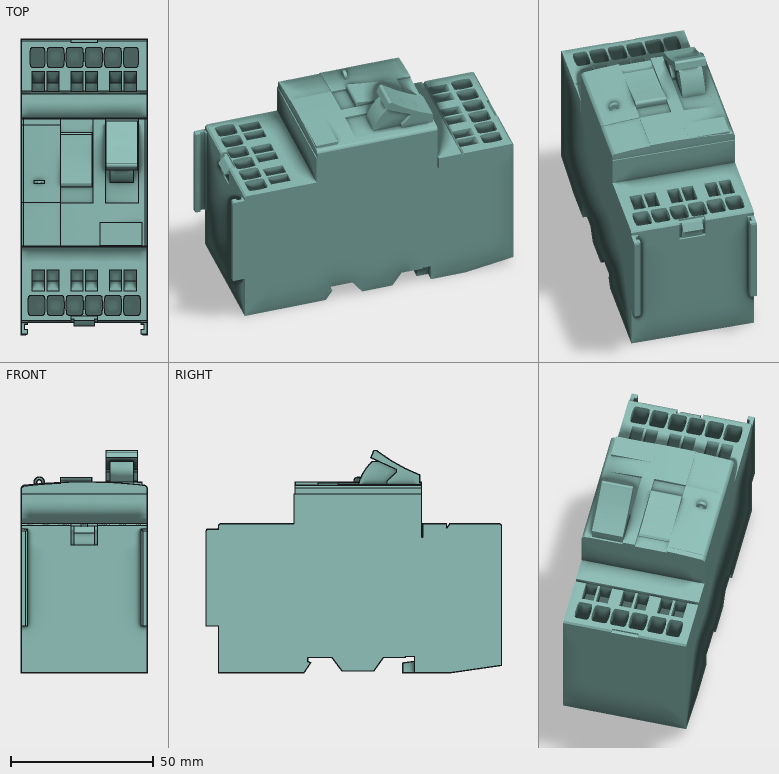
import cadquery as cq
import math

width = 44.5
half_width = width / 2
depth = 99.65
shoulder_z = 52.5
hood_front_y = 26.6
hood_back_y = 71.5
seam_z = 63.0
crown_z = 67.2
cut_clearance = 1.0


def box(x0, x1, y0, y1, z0, z1):
    return cq.Workplane("XY").box(x1 - x0, y1 - y0, z1 - z0, centered=False).translate((x0, y0, z0))


def side_prism(sketch, x0, x1):
    """Extrude an outline drawn in the YZ plane from x0 to x1."""
    return sketch.close().extrude(x1 - x0).translate((x0, 0, 0))


rim_chamfer = 0.6
rail_roof_z = 5.4
clip_wall_y = 69.0
clip_relief_y = 65.8
clip_relief_height = 0.35
web_bottom_z = 0.6
web_bottom_y = (43.5, 54.7)
web_root_y = (39.9, 58.1)
rail_front_y = 31.5
rail_hook_y = 32.5
rail_hook_z = (3.6, 4.0)
hook_foot_y = 30.1
base_slope_y = 81.7
base_slope_rise = 2.6

wire_pitch = 6.72
wire_length = 7.1
wire_half_width = 3.1
end_wire_half_width = 2.75
wire_corner_inset = 0.85
wire_corner_rise = 0.5
wire_hole_depth = 12.0
front_wire_y = 6.0
back_wire_y = 93.25
wire_columns = 6

spring_pair_pitch = 13.6
spring_half_gap = 0.42
spring_width = 4.3
spring_depth = 6.5
front_spring_y = (11.0, 14.5, 18.4)
back_spring_y = (88.2, 84.3, 81.2)

latch_half_width = 4.75
latch_bottom_z = 45.0
latch_recess_depth = 2.3
hook_half_width = 3.65
hook_reach = 1.3
hook_top_z = 51.6
hook_edge_z = 49.2
hook_set_back = 0.6
ledge_set_back = 1.2
back_notch_length = 1.2
back_notch_depth = 0.8

rail_reach = 4.4
rail_bottom_z = 16.4
rail_top_z = 50.6
rail_stem = 1.3
rail_lip_width = 2.3
rail_lip_start = 2.5
rail_root_lip = 0.7
rail_bevel_width = 0.75
rail_bevel_depth = 0.35


def housing_block():
    outline = (
        cq.Workplane("YZ")
        .moveTo(0, 0)
        .lineTo(0, shoulder_z - rim_chamfer)
        .lineTo(rim_chamfer, shoulder_z)
        .lineTo(hood_front_y, shoulder_z)
        .lineTo(hood_front_y, seam_z)
        .lineTo(hood_back_y, seam_z)
        .lineTo(hood_back_y, shoulder_z)
        .lineTo(depth - rim_chamfer, shoulder_z)
        .lineTo(depth, shoulder_z - rim_chamfer)
        .lineTo(depth, base_slope_rise)
        .lineTo(base_slope_y, 0)
        .lineTo(clip_wall_y, 0)
        .lineTo(clip_wall_y, rail_roof_z + clip_relief_height)
        .lineTo(clip_relief_y, rail_roof_z + clip_relief_height)
        .lineTo(clip_relief_y, rail_roof_z)
        .lineTo(web_root_y[1], rail_roof_z)
        .lineTo(web_bottom_y[1], web_bottom_z)
        .lineTo(web_bottom_y[0], web_bottom_z)
        .lineTo(web_root_y[0], rail_roof_z)
        .lineTo(rail_front_y, rail_roof_z)
        .lineTo(rail_front_y, rail_hook_z[1])
        .lineTo(rail_hook_y, rail_hook_z[0])
        .lineTo(hook_foot_y, 0)
    )
    return side_prism(outline, -half_width, half_width)


def rail_clip():
    clip_half_width = 19.0
    clip_tip_y = 64.8
    root_height, tip_height = 4.1, 3.5
    outline = (
        cq.Workplane("YZ")
        .moveTo(clip_wall_y, 0)
        .lineTo(clip_wall_y, root_height)
        .lineTo(clip_tip_y, tip_height)
        .lineTo(clip_tip_y, 0)
    )
    return side_prism(outline, -clip_half_width, clip_half_width)


def shoulder_grooves():
    """V-groove across the rear terminal block and the narrow slit behind the hood."""
    v_back, v_front, v_depth = 81.4, 80.3, 1.6
    slit_width, slit_depth = 0.4, 4.7
    v_groove = side_prism(
        cq.Workplane("YZ")
        .moveTo(v_back, shoulder_z)
        .lineTo(v_front, shoulder_z)
        .lineTo(v_front, shoulder_z - v_depth),
        -half_width,
        half_width,
    )
    slit = box(
        -half_width, half_width, hood_back_y, hood_back_y + slit_width, shoulder_z - slit_depth, shoulder_z
    )
    return v_groove.union(slit)


def wire_hole(x, y, half_w):
    """Barrel-shaped wire entry with bowed sides and clipped corners."""
    end = wire_length / 2
    flat = half_w - wire_corner_inset
    side = half_w - wire_corner_inset / 3
    shoulder = end - wire_corner_rise
    return (
        cq.Workplane("XY", origin=(x, y, shoulder_z - wire_hole_depth))
        .moveTo(-flat, -end)
        .lineTo(flat, -end)
        .lineTo(side, -shoulder)
        .threePointArc((half_w, 0), (side, shoulder))
        .lineTo(flat, end)
        .lineTo(-flat, end)
        .lineTo(-side, shoulder)
        .threePointArc((-half_w, 0), (-side, -shoulder))
        .close()
        .extrude(wire_hole_depth + cut_clearance)
    )


def spring_pocket(x0, stations):
    """Release opening: a ramp from the shoulder down to a flat floor."""
    ramp_top, ramp_foot, flat_end = stations
    floor_z = shoulder_z - spring_depth
    outline = (
        cq.Workplane("YZ")
        .moveTo(ramp_top, shoulder_z)
        .lineTo(ramp_foot, floor_z)
        .lineTo(flat_end, floor_z)
        .lineTo(flat_end, shoulder_z)
    )
    return side_prism(outline, x0, x0 + spring_width)


def front_latch_hook():
    outline = (
        cq.Workplane("YZ")
        .moveTo(ledge_set_back, latch_bottom_z)
        .lineTo(ledge_set_back, hook_top_z)
        .lineTo(hook_set_back, hook_top_z)
        .lineTo(-hook_reach, hook_edge_z)
        .lineTo(hook_set_back, hook_edge_z)
        .lineTo(hook_set_back, latch_bottom_z)
    )
    return side_prism(outline, -hook_half_width, hook_half_width)


def guide_rail():
    outer = -half_width
    rail = (
        cq.Workplane("XY", origin=(0, 0, rail_bottom_z))
        .moveTo(outer, 0)
        .lineTo(outer, -rail_reach)
        .lineTo(outer + rail_lip_width - rail_bevel_width, -rail_reach)
        .lineTo(outer + rail_lip_width, -rail_reach + rail_bevel_depth)
        .lineTo(outer + rail_lip_width, -rail_lip_start)
        .lineTo(outer + rail_stem, -rail_lip_start)
        .lineTo(outer + rail_stem, -rail_root_lip)
        .lineTo(outer + rail_lip_width, -rail_root_lip)
        .lineTo(outer + rail_lip_width, 0)
        .close()
        .extrude(rail_top_z - rail_bottom_z)
    )
    top_bevel = (
        cq.Workplane("YZ")
        .moveTo(-rail_reach, rail_top_z)
        .lineTo(-rail_reach + rail_bevel_depth, rail_top_z)
        .lineTo(-rail_reach, rail_top_z - rail_bevel_width)
    )
    return rail.cut(side_prism(top_bevel, outer, outer + rail_lip_width))


def make_housing():
    body = housing_block().union(rail_clip()).cut(shoulder_grooves())

    for column in range(wire_columns):
        x = (column - (wire_columns - 1) / 2) * wire_pitch
        at_end = column in (0, wire_columns - 1)
        back_half_width = end_wire_half_width if at_end else wire_half_width
        inward = math.copysign(wire_half_width - back_half_width, x)
        body = body.cut(wire_hole(x, front_wire_y, wire_half_width))
        body = body.cut(wire_hole(x - inward, back_wire_y, back_half_width))

    for pair in (-1, 0, 1):
        centre = pair * spring_pair_pitch
        for x0 in (centre - spring_half_gap - spring_width, centre + spring_half_gap):
            body = body.cut(spring_pocket(x0, front_spring_y))
            body = body.cut(spring_pocket(x0, back_spring_y))

    latch_recess = box(-latch_half_width, latch_half_width, 0, ledge_set_back, latch_bottom_z, shoulder_z)
    latch_top = box(-latch_half_width, latch_half_width, 0, latch_recess_depth, hook_top_z, shoulder_z)
    back_notch = box(
        -latch_half_width,
        latch_half_width,
        depth - back_notch_length,
        depth,
        shoulder_z - back_notch_depth,
        shoulder_z,
    )
    rail = guide_rail()
    body = body.cut(latch_recess).cut(latch_top).cut(back_notch).union(front_latch_hook())
    return body.union(rail).union(rail.mirror("YZ"))


cover_set_back = 0.3
cover_front_y = hood_front_y + cover_set_back
crown_edge_x = 21.3
crown_edge_z = 66.0
round_end_z = 65.0
round_mid = (21.85, 65.56)
well_floor_z = 66.2
well_front_y = 42.0
lid_right_x = -8.4
lid_front_y = 42.2
lid_back_y = 69.5
panel_drop = 0.3
strip_drop = 0.1

rocker_well_right_x = 3.05
rocker_side_gap = 0.35
rocker_front_y = 47.7
rocker_back_y = 66.9
rocker_top_z = 68.75

lever_x = (7.6, 18.75)
lever_well_x = (7.5, 19.1)
arm_x = (9.0, 17.3)


def crowned_prism(y0, y1, drop):
    """Cover slab with an arched top and rounded long edges, lowered by drop."""
    mid_x, mid_z = round_mid
    return (
        cq.Workplane("XZ", origin=(0, y1, 0))
        .moveTo(-half_width, seam_z)
        .lineTo(-half_width, round_end_z - drop)
        .threePointArc((-mid_x, mid_z - drop), (-crown_edge_x, crown_edge_z - drop))
        .threePointArc((0, crown_z - drop), (crown_edge_x, crown_edge_z - drop))
        .threePointArc((mid_x, mid_z - drop), (half_width, round_end_z - drop))
        .lineTo(half_width, seam_z)
        .close()
        .extrude(y1 - y0)
    )


def cover_shell():
    """Crowned shell with a lowered panel in front of the lid and a lowered strip behind it."""
    shell = crowned_prism(cover_front_y, hood_back_y, 0)
    for y0, y1, drop in ((cover_front_y, lid_front_y, panel_drop), (lid_back_y, hood_back_y, strip_drop)):
        lid_side = box(-half_width, lid_right_x, y0, y1, seam_z, crown_z)
        lowered = crowned_prism(y0, y1, drop).intersect(lid_side)
        shell = shell.cut(lid_side.cut(lowered))
    return shell


def well(x0, x1):
    return box(x0, x1, well_front_y, hood_back_y + cut_clearance, well_floor_z, crown_z + cut_clearance)


def label_plate():
    x0, x1 = 5.5, 20.4
    y0, y1 = 27.1, 35.1
    top_z = 67.15
    return box(x0, x1, y0, y1, seam_z, top_z)


def rocker():
    nose = 1.0
    heel = 0.7
    waist = (57.0, 67.6)
    outline = (
        cq.Workplane("YZ")
        .moveTo(rocker_back_y, well_floor_z)
        .lineTo(rocker_back_y, crown_z - heel)
        .lineTo(rocker_back_y - heel, crown_z - heel / 3)
        .threePointArc(waist, (rocker_front_y + nose, rocker_top_z))
        .radiusArc((rocker_front_y, rocker_top_z - nose), -nose)
        .lineTo(rocker_front_y, well_floor_z)
    )
    return side_prism(outline, lid_right_x, rocker_well_right_x - rocker_side_gap)


def lever():
    """Toggle: a wide concave handle carried on a narrower arm."""
    handle_back_y = 70.9
    handle_back_z = 69.65
    hollow_mid = (62.45, 73.7)
    tip_start = (55.97, 78.0)
    tip_top = (55.15, 78.32)
    tip_end = (54.4, 77.6)
    tip_underside = (53.6, 75.7)
    throat_y = 62.6
    throat_z = (70.6, 71.6)
    leg_front = (59.3, 67.5)
    handle_outline = (
        cq.Workplane("YZ")
        .moveTo(handle_back_y, well_floor_z)
        .lineTo(handle_back_y, handle_back_z)
        .threePointArc(hollow_mid, tip_start)
        .threePointArc(tip_top, tip_end)
        .lineTo(*tip_underside)
        .lineTo(throat_y, throat_z[1])
        .lineTo(throat_y, throat_z[0])
        .lineTo(*leg_front)
        .lineTo(leg_front[0], well_floor_z)
    )

    arm_back = (65.0, 72.0)
    arm_top_back = (56.15, 74.5)
    arm_top_front = (54.1, 74.4)
    arm_front_mid = (51.9, 71.9)
    arm_front_y = 49.2
    arm_outline = (
        cq.Workplane("YZ")
        .moveTo(arm_back[0], well_floor_z)
        .lineTo(*arm_back)
        .lineTo(*arm_top_back)
        .lineTo(*arm_top_front)
        .threePointArc(arm_front_mid, (arm_front_y, well_floor_z))
    )
    return side_prism(handle_outline, *lever_x).union(side_prism(arm_outline, *arm_x))


def sealing_eye():
    """Small upright ring on the lid."""
    outer_radius, hole_radius, thickness = 1.85, 0.8, 1.1
    centre = (-15.85, 50.0, 67.1)
    return (
        cq.Workplane("XZ", origin=centre)
        .circle(outer_radius)
        .circle(hole_radius)
        .extrude(thickness)
    )


def make_cover():
    body = cover_shell()
    body = body.cut(well(lid_right_x, rocker_well_right_x)).cut(well(*lever_well_x))
    return body.union(label_plate()).union(rocker()).union(lever()).union(sealing_eye())


housing = make_housing()
cover = make_cover()

result = cq.Compound.makeCompound([housing.solids().val(), cover.solids().val()])